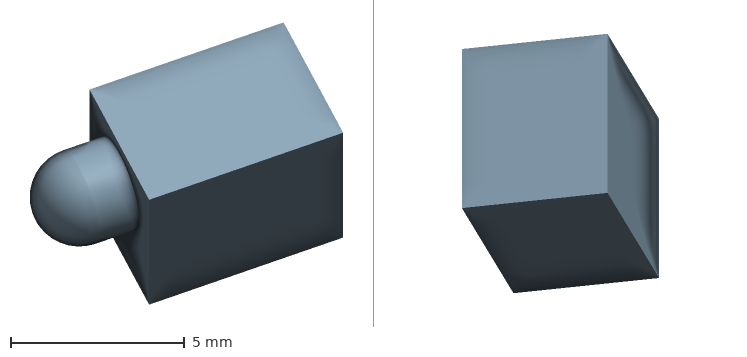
import cadquery as cq

overall_length = 8.76
housing_width = 4.32
housing_length = 6.08
housing_height = 5.03
lens_diameter = 2.85
lens_axis_height = 3.18

lens_radius = lens_diameter / 2
lens_length = overall_length - housing_length
barrel_length = lens_length - lens_radius


def make_housing():
    """Plain block with its front face at Y = 0 and its base at Z = 0."""
    return cq.Workplane("XY").box(
        housing_width, housing_length, housing_height, centered=(True, False, False)
    )


def make_lens():
    """Round barrel with a hemispherical tip, seated against the housing front face."""
    half_profile = (
        cq.Workplane("XY")
        .lineTo(lens_radius, 0)
        .lineTo(lens_radius, -barrel_length)
        .radiusArc((0, -lens_length), lens_radius)
        .close()
    )
    lens = half_profile.revolve(360, (0, 0, 0), (0, 1, 0))
    return lens.translate((0, 0, lens_axis_height))


housing = make_housing()
lens = make_lens()

result = cq.Compound.makeCompound([housing.val(), lens.val()])